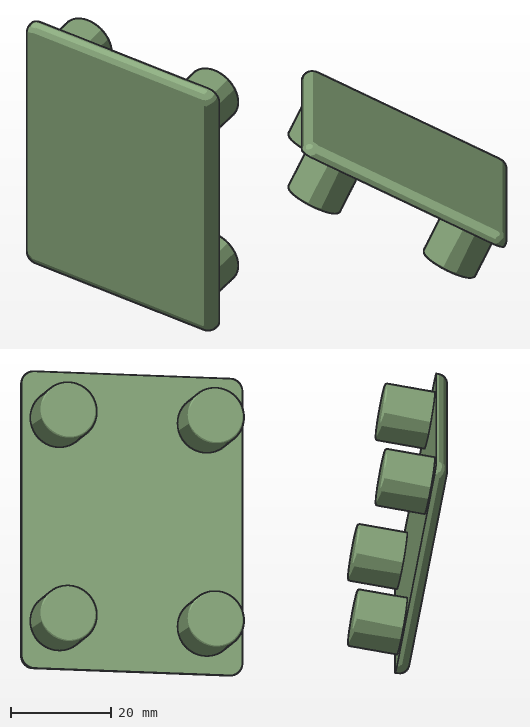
import cadquery as cq

width = 45.0
height = 60.0
total_depth = 12.5
plate_thickness = 2.5
corner_radius = 2.5
edge_radius = 2.0

post_diameter = 11.5
post_spacing_x = 30.0
post_spacing_z = 41.1
post_edge_radius = 0.5
post_length = total_depth - plate_thickness


def make_plate():
    """Rounded plate with its front face at Y = 0 and its front rim rounded."""
    plate = (
        cq.Workplane("XZ")
        .rect(width, height)
        .extrude(-plate_thickness)
        .edges("|Y")
        .fillet(corner_radius)
    )
    return plate.faces("<Y").edges().fillet(edge_radius)


def make_posts():
    """Four round posts standing on the back face, rounded at their free ends."""
    return (
        cq.Workplane("XZ", origin=(0, plate_thickness, 0))
        .rarray(post_spacing_x, post_spacing_z, 2, 2)
        .circle(post_diameter / 2)
        .extrude(-post_length)
        .faces(">Y")
        .edges()
        .fillet(post_edge_radius)
    )


result = make_plate().union(make_posts())